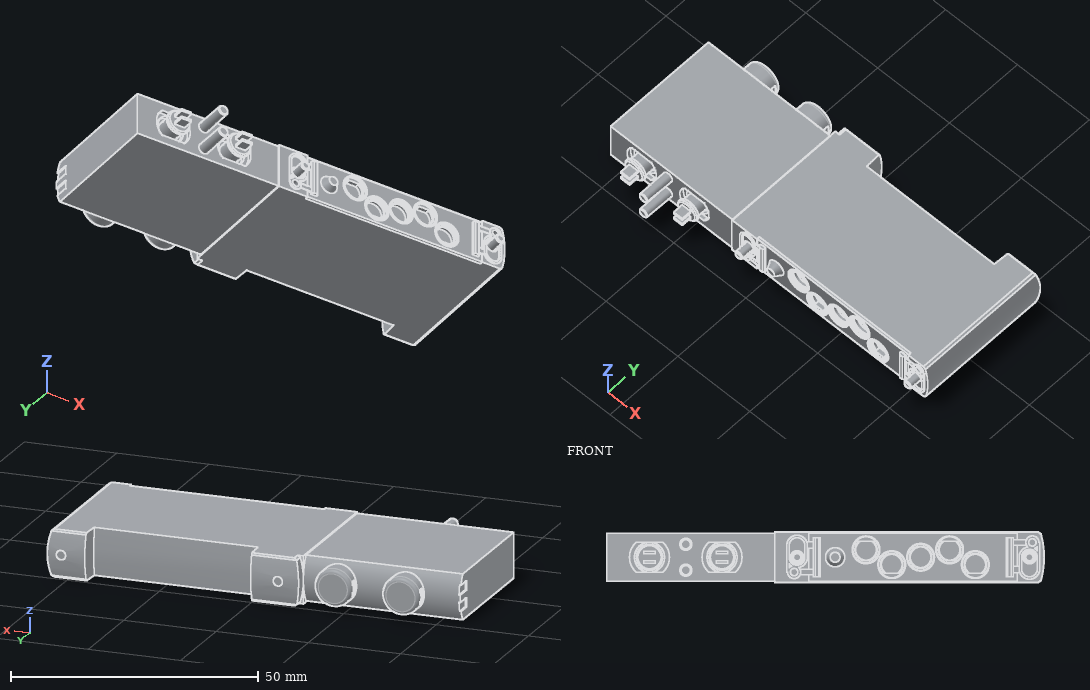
import cadquery as cq


total_length = 88.5
valve_height = 10.25
pilot_length = 34.0
pilot_height = 9.8

pilot_edge_y = 28.8
pilot_crown_y = 30.22
actuator_pitch = 14.67
actuator_count = 2

socket_first_x = 8.65
socket_recess_diameter = 8.1
socket_recess_height = 6.1
socket_recess_depth = 1.0
socket_bore_diameter = 6.1
socket_bore_depth = 2.0
barrel_diameter = 4.5
collar_diameter = 5.3
collar_start_y = -1.55
collar_end_y = -2.35
collar_bevel = 0.3
blade_width = 2.4
blade_thickness = 0.5
blade_offset = 0.92
blade_tip_y = -4.85

button_first_x = 11.85
button_diameter = 8.1
button_top_y = 33.22
button_round = 0.9
button_notch_height = 5.0
button_notch_low_y = 30.9
button_notch_high_y = 32.0
button_notch_depth = 0.3

post_x = 16.0
post_offset_z = 2.62
post_diameter = 2.4
post_tip_diameter = 2.2
post_tip_y = -7.4
post_bevel = 0.15

latch_low_y = 26.7
latch_height = 2.0
latch_offset_z = 1.8
latch_depth = 0.3

valve_front_y = -0.25
ear_back_y = 32.92
crown_rise = 0.65
back_bevel_depth = 0.3
side_bevel_depth = 0.6
crown_bevel_height = 0.4
notch_left_x = 44.4
notch_right_x = 80.35
notch_floor_y = 28.2
notch_floor_rise = 0.25
notch_draft = 0.25
ledge_y = 30.2

port_land_left_x = 40.9
port_land_right_x = 83.05
port_land_bevel = 0.5
port_land_bevel_height = 0.25

port_center_x = 63.5
port_ring_diameter = 5.6
port_seat_diameter = 5.3
port_step_diameter = 4.5
port_bore_diameter = 4.2
port_ring_proud = 0.3
port_seat_y = 0.3
port_step_y = 0.6
port_floor_y = 1.5
port_row_z = 1.5
port_flat_z = 3.25
port_spots = [(-11.05, 1), (-5.85, -1), (0, 0), (5.85, 1), (11.05, -1)]

dowel_x = 46.2
dowel_base_diameter = 3.9
dowel_tip_diameter = 2.0
dowel_tip_y = -1.7

clamp_center_x = 62.0
screw_reach = 23.5
screw_diameter = 2.0
screw_tip_diameter = 1.5
screw_tip_bevel_length = 0.25
screw_tip_y = -3.25
screw_clearance_diameter = 2.65
screw_clearance_depth = 1.0
loop_proud_y = -0.5
loop_width = 4.2
loop_wall = 0.5
loop_top_center_z = 2.35
eye_reach = 24.1
eye_z = -3.0
eye_diameter = 2.65
eye_hole_diameter = 1.5
eye_hole_depth = 1.5
bar_outer_reach = 20.2
bar_inner_reach = 18.8
bar_half_height = 3.95
bar_ridge_y = -0.75
bar_bevel = 0.35
strap_back_y = 0.5
strap_proud_y = -0.35
straps = [(21.5, 1.85, 3.1), (22.8, -3.55, -2.45)]


def box(x0, x1, y0, y1, z0, z1):
    """Box given by its limits along each axis."""
    return cq.Workplane("XY").box(x1 - x0, y1 - y0, z1 - z0, centered=False).translate((x0, y0, z0))


def rod(x, z, diameter, y0, y1):
    """Round bar along Y from y0 up to y1."""
    return cq.Workplane("XZ", origin=(x, y0, z)).circle(diameter / 2).extrude(y0 - y1)


def tapered_rod(x, z, base_diameter, tip_diameter, tip_y):
    """Round peg from Y = 0 forwards, narrowing to its tip."""
    return (
        cq.Workplane("XZ", origin=(x, 0, z))
        .circle(base_diameter / 2)
        .workplane(offset=-tip_y)
        .circle(tip_diameter / 2)
        .loft()
    )


def actuator_places(first_x):
    """X places of the parts that repeat with the actuators."""
    return [first_x + i * actuator_pitch for i in range(actuator_count)]


def pilot_block():
    half = pilot_height / 2
    return (
        cq.Workplane("YZ")
        .moveTo(0, -half)
        .lineTo(pilot_edge_y, -half)
        .threePointArc((pilot_crown_y, 0), (pilot_edge_y, half))
        .lineTo(0, half)
        .close()
        .extrude(pilot_length)
    )


def socket_recess(x):
    half = socket_recess_height / 2
    radius = socket_recess_diameter / 2
    flats = box(x - radius, x + radius, 0, socket_recess_depth, -half, half)
    crescent = rod(x, 0, socket_recess_diameter, 0, socket_recess_depth).intersect(flats)
    return crescent.union(rod(x, 0, socket_bore_diameter, 0, socket_bore_depth))


def contact_socket(x):
    socket = rod(x, 0, barrel_diameter, collar_start_y, socket_bore_depth)
    collar = rod(x, 0, collar_diameter, collar_end_y, collar_start_y).faces("<Y").chamfer(collar_bevel)
    socket = socket.union(collar)
    for side in (-1, 1):
        z = side * blade_offset
        socket = socket.union(
            box(
                x - blade_width / 2, x + blade_width / 2, blade_tip_y, collar_end_y,
                z - blade_thickness / 2, z + blade_thickness / 2,
            )
        )
    return socket


def override_button(x):
    button = rod(x, 0, button_diameter, pilot_edge_y, button_top_y).faces(">Y").edges().fillet(button_round)
    radius = button_diameter / 2
    half = button_notch_height / 2
    for side in (-1, 1):
        edge = x + side * radius
        button = button.cut(
            box(
                edge - button_notch_depth, edge + button_notch_depth,
                button_notch_low_y, button_notch_high_y, -half, half,
            )
        )
    return button


def latch_recess(side):
    z = side * latch_offset_z
    return box(0, latch_depth, latch_low_y, pilot_crown_y, z - latch_height / 2, z + latch_height / 2)


def make_pilot():
    pilot = pilot_block()
    for x in actuator_places(socket_first_x):
        pilot = pilot.cut(socket_recess(x)).union(contact_socket(x))
    for x in actuator_places(button_first_x):
        pilot = pilot.union(override_button(x))
    for side in (-1, 1):
        post = tapered_rod(post_x, side * post_offset_z, post_diameter, post_tip_diameter, post_tip_y)
        pilot = pilot.union(post.faces("<Y").chamfer(post_bevel))
        pilot = pilot.cut(latch_recess(side))
    return pilot


def crowned_profile(plane, near, far, bevel_depth):
    """Rectangle whose far end is bevelled at its edges and crowned between them."""
    half = valve_height / 2
    shoulder = far - crown_rise
    shoulder_half = half - crown_bevel_height
    edge = shoulder - bevel_depth
    return (
        cq.Workplane(plane)
        .moveTo(near, -half)
        .lineTo(edge, -half)
        .lineTo(shoulder, -shoulder_half)
        .threePointArc((far, 0), (shoulder, shoulder_half))
        .lineTo(edge, half)
        .lineTo(near, half)
        .close()
    )


def valve_block():
    """Block crowned at the back and right, and at the left above the pilot block."""
    depth = ear_back_y - valve_front_y
    back = crowned_profile("YZ", valve_front_y, ear_back_y, back_bevel_depth).extrude(total_length)
    right = crowned_profile("XZ", pilot_length, total_length, side_bevel_depth).extrude(-depth)
    block = back.intersect(right.translate((0, valve_front_y, 0)))
    left = crowned_profile("XZ", -total_length, -pilot_length, side_bevel_depth).extrude(-depth)
    left = left.mirror("YZ").translate((0, ledge_y, 0))
    half = valve_height / 2
    below_ledge = box(pilot_length, total_length, valve_front_y, ledge_y, -half, half)
    return block.intersect(left.union(below_ledge))


def back_notch():
    """Cut between the ears, with drafted sides and a crowned floor."""
    half = valve_height / 2
    sides = (
        cq.Workplane("XY", origin=(0, 0, -half))
        .polyline([
            (notch_left_x, ear_back_y),
            (notch_left_x + notch_draft, notch_floor_y),
            (notch_right_x - notch_draft, notch_floor_y),
            (notch_right_x, ear_back_y),
        ])
        .close()
        .extrude(valve_height)
    )
    above_floor = (
        cq.Workplane("YZ", origin=(notch_left_x, 0, 0))
        .moveTo(notch_floor_y, -half)
        .threePointArc((notch_floor_y + notch_floor_rise, 0), (notch_floor_y, half))
        .lineTo(ear_back_y, half)
        .lineTo(ear_back_y, -half)
        .close()
        .extrude(notch_right_x - notch_left_x)
    )
    return sides.intersect(above_floor)


def port_land_cut():
    """Lowers the front between the ears to Y = 0 and bevels the long edges of this land."""
    half = valve_height / 2
    inner = half - port_land_bevel_height
    return (
        cq.Workplane("YZ", origin=(port_land_left_x, 0, 0))
        .polyline([
            (valve_front_y, -half),
            (port_land_bevel, -half),
            (0, -inner),
            (0, inner),
            (port_land_bevel, half),
            (valve_front_y, half),
        ])
        .close()
        .extrude(port_land_right_x - port_land_left_x)
    )


def port_cut(x, z, diameter, floor_y):
    """Bore from the ring's face down to the given floor, with a flat towards the outer long edge."""
    bore = rod(x, z, diameter, -port_ring_proud, floor_y)
    radius = diameter / 2
    return bore.intersect(
        box(x - radius, x + radius, -port_ring_proud, floor_y, -port_flat_z, port_flat_z)
    )


def add_port(body, x, side):
    """Proud sealing ring around a round seat, a step and a blind bore."""
    z = side * port_row_z
    body = body.union(rod(x, z, port_ring_diameter, -port_ring_proud, 0))
    body = body.cut(rod(x, z, port_seat_diameter, -port_ring_proud, port_seat_y))
    body = body.cut(port_cut(x, z, port_step_diameter, port_step_y))
    return body.cut(port_cut(x, z, port_bore_diameter, port_floor_y))


def loop_slot(width, y0, y1):
    """Round-ended slot from the screw up to the top of the loop."""
    x = clamp_center_x - screw_reach
    slot = box(x - width / 2, x + width / 2, y0, y1, 0, loop_top_center_z)
    for z in (0, loop_top_center_z):
        slot = slot.union(rod(x, z, width, y0, y1))
    return slot


def clamp_solid():
    """Left clamp: screw loop, eye, wall between them, hooked bar and the straps that join them."""
    eye_x = clamp_center_x - eye_reach
    clamp = loop_slot(loop_width, loop_proud_y, 0)
    clamp = clamp.cut(loop_slot(loop_width - 2 * loop_wall, loop_proud_y, 0))
    clamp = clamp.union(rod(eye_x, eye_z, eye_diameter, loop_proud_y, 0))
    loop_left = clamp_center_x - screw_reach - loop_width / 2
    clamp = clamp.union(box(loop_left, loop_left + loop_wall, loop_proud_y, 0, eye_z, 0))
    outer_x = clamp_center_x - bar_outer_reach
    inner_x = clamp_center_x - bar_inner_reach
    bar = (
        cq.Workplane("XY", origin=(0, 0, -bar_half_height))
        .polyline([
            (outer_x, strap_back_y),
            (outer_x, bar_ridge_y + bar_bevel),
            (outer_x + bar_bevel, bar_ridge_y),
            (inner_x - bar_bevel, bar_ridge_y),
            (inner_x, bar_ridge_y + bar_bevel),
            (inner_x, strap_back_y),
        ])
        .close()
        .extrude(2 * bar_half_height)
    )
    clamp = clamp.union(bar)
    for reach, low_z, high_z in straps:
        clamp = clamp.union(
            box(clamp_center_x - reach, outer_x, strap_proud_y, strap_back_y, low_z, high_z)
        )
    return clamp


def clamp_holes():
    """Left screw hole with its clearance, the recess inside the loop, and the eye hole."""
    screw_x = clamp_center_x - screw_reach
    eye_x = clamp_center_x - eye_reach
    holes = rod(screw_x, 0, screw_diameter, loop_proud_y, ear_back_y)
    holes = holes.union(rod(screw_x, 0, screw_clearance_diameter, loop_proud_y, screw_clearance_depth))
    holes = holes.union(loop_slot(loop_width - 2 * loop_wall, loop_proud_y, 0))
    return holes.union(rod(eye_x, eye_z, eye_hole_diameter, loop_proud_y, eye_hole_depth))


def turned(shape, angle):
    """Turns a clamp feature about the Y axis through the middle of the clamps."""
    return shape.rotate((clamp_center_x, 0, 0), (clamp_center_x, 1, 0), angle)


def make_valve():
    valve = valve_block().cut(back_notch()).cut(port_land_cut())
    for offset, side in port_spots:
        valve = add_port(valve, port_center_x + offset, side)
    valve = valve.union(tapered_rod(dowel_x, 0, dowel_base_diameter, dowel_tip_diameter, dowel_tip_y))
    for angle in (0, 180):
        valve = valve.union(turned(clamp_solid(), angle))
        valve = valve.cut(turned(clamp_holes(), angle))
    return valve


def make_screw(side):
    """Plain screw running through an ear, cut to the crowned back, with a bevelled tip."""
    x = clamp_center_x + side * screw_reach
    bevel_radius = (screw_diameter - screw_tip_diameter) / 2
    shank = rod(x, 0, screw_diameter, screw_tip_y, ear_back_y)
    shank = shank.faces("<Y").chamfer(screw_tip_bevel_length, bevel_radius)
    crown = crowned_profile("YZ", screw_tip_y, ear_back_y, back_bevel_depth).extrude(total_length)
    return shank.intersect(crown)


pilot = make_pilot()
valve = make_valve()
screws = [make_screw(side) for side in (-1, 1)]

bodies = [pilot.solids().val(), valve.solids().val(), *[screw.solids().val() for screw in screws]]

result = cq.Compound.makeCompound(bodies)